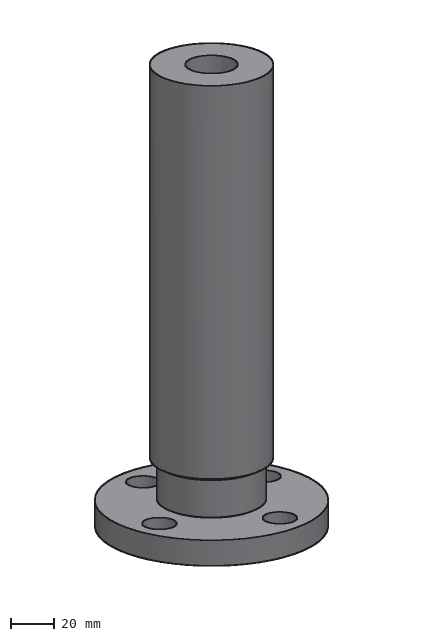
import cadquery as cq
import math

flange_diameter = 107.95
flange_thickness = 12.7
bolt_circle_diameter = 79.4
bolt_hole_diameter = 15.9
bolt_hole_count = 4

overall_height = 227.01
neck_diameter = 50.8
neck_top = 31.65
barrel_diameter = 57.15
taper_angle = 30.0
foot_diameter = 48.2
bore_diameter = 24.3


def make_flange():
    """Round flange with bolt holes on the X and Y axes."""
    flange = cq.Workplane("XY").circle(flange_diameter / 2).extrude(flange_thickness)
    bolt_holes = (
        cq.Workplane("XY")
        .polarArray(bolt_circle_diameter / 2, 0, 360, bolt_hole_count)
        .circle(bolt_hole_diameter / 2)
        .extrude(flange_thickness)
    )
    return flange.cut(bolt_holes)


def taper_height(small_diameter, large_diameter):
    """Rise of a taper that widens from one diameter to the other."""
    return (large_diameter - small_diameter) / 2 * math.tan(math.radians(taper_angle))


def make_stem():
    """Neck and barrel as one turned body, each widening upward from a short taper."""
    foot_radius = foot_diameter / 2
    neck_radius = neck_diameter / 2
    barrel_radius = barrel_diameter / 2
    neck_bottom = flange_thickness + taper_height(foot_diameter, neck_diameter)
    barrel_bottom = neck_top + taper_height(neck_diameter, barrel_diameter)
    half_section = (
        cq.Workplane("XZ")
        .lineTo(foot_radius, 0)
        .lineTo(foot_radius, flange_thickness)
        .lineTo(neck_radius, neck_bottom)
        .lineTo(neck_radius, neck_top)
        .lineTo(barrel_radius, barrel_bottom)
        .lineTo(barrel_radius, overall_height)
        .lineTo(0, overall_height)
        .close()
    )
    return half_section.revolve(360, (0, 0, 0), (0, 1, 0))


bore = cq.Workplane("XY").circle(bore_diameter / 2).extrude(overall_height)
result = make_flange().union(make_stem()).cut(bore)